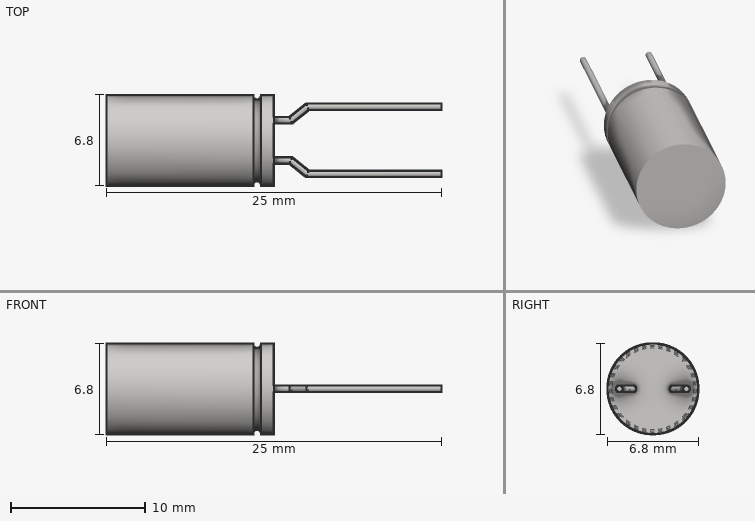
import cadquery as cq

total_length = 25.0
can_length = 12.5
can_diameter = 6.8
groove_start = 10.98
groove_end = 11.52
groove_depth = 0.35
front_wall_depth = 0.25
rear_wall_depth = 0.15

lead_diameter = 0.5
exit_spacing = 3.0
lead_pitch = 5.0
bend_start = 13.75
bend_end = 15.0

can_radius = can_diameter / 2
groove_middle = (groove_start + groove_end) / 2


def floor_arc_radius(rise):
    """Radius of a floor arc that is level at mid-groove and climbs by rise at the groove wall."""
    half_width = (groove_end - groove_start) / 2
    return (half_width**2 + rise**2) / (2 * rise)


def make_can():
    """Revolve the can outline, including the rounded crimp groove."""
    front_radius = floor_arc_radius(groove_depth - front_wall_depth)
    rear_radius = floor_arc_radius(groove_depth - rear_wall_depth)
    return (
        cq.Workplane("XY")
        .lineTo(0, can_radius)
        .lineTo(groove_start, can_radius)
        .lineTo(groove_start, can_radius - front_wall_depth)
        .radiusArc((groove_middle, can_radius - groove_depth), -front_radius)
        .radiusArc((groove_end, can_radius - rear_wall_depth), -rear_radius)
        .lineTo(groove_end, can_radius)
        .lineTo(can_length, can_radius)
        .lineTo(can_length, 0)
        .close()
        .revolve(360, (0, 0, 0), (1, 0, 0))
    )


def make_lead(side):
    """Sweep a mitred round wire from the can end; side is +1 or -1 along Y."""
    exit_y = side * exit_spacing / 2
    tip_y = side * lead_pitch / 2
    path = cq.Workplane("XY").polyline([
        (can_length, exit_y),
        (bend_start, exit_y),
        (bend_end, tip_y),
        (total_length, tip_y),
    ])
    return (
        cq.Workplane("YZ", origin=(can_length, exit_y, 0))
        .circle(lead_diameter / 2)
        .sweep(path, transition="right")
    )


can = make_can()
leads = [make_lead(side) for side in (1, -1)]

result = cq.Compound.makeCompound([can.val(), *[lead.val() for lead in leads]])